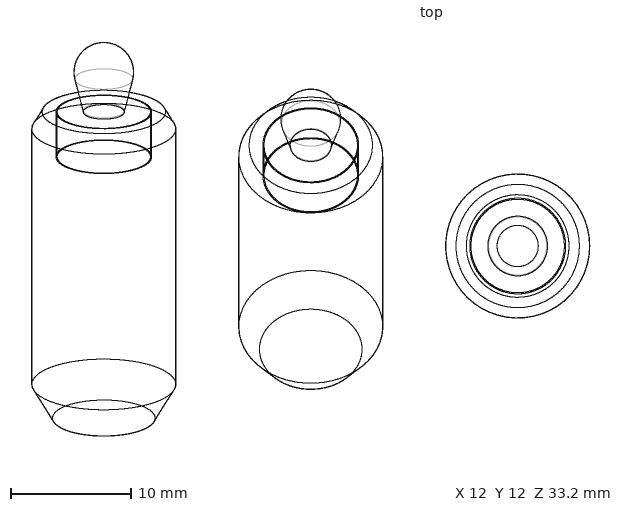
import cadquery as cq
import math

TOTAL_HEIGHT = 33.2
HOUSING_HEIGHT = 27.2
HOUSING_DIAMETER = 12.0
CHAMFER_ANGLE = 60.0
TOP_CHAMFER_HEIGHT = 1.5
BOTTOM_CHAMFER_HEIGHT = 3.0
BORE_RADIUS = 4.0
BORE_DEPTH = 4.0
INSERT_GAP = 0.1
BALL_RADIUS = 2.5
STEM_FOOT_HEIGHT = 0.1
STEM_HALF_ANGLE = 14.0

housing_radius = HOUSING_DIAMETER / 2
bore_floor = HOUSING_HEIGHT - BORE_DEPTH
chamfer_slope = math.tan(math.radians(CHAMFER_ANGLE))
top_radius = housing_radius - TOP_CHAMFER_HEIGHT / chamfer_slope
bottom_radius = housing_radius - BOTTOM_CHAMFER_HEIGHT / chamfer_slope


def revolve_profile(profile):
    """Turn a half profile, drawn as radius and height, about the Z axis."""
    return profile.close().revolve(360, (0, 0, 0), (0, 1, 0))


def make_housing():
    """Cylinder with conical ends and a blind bore in the top."""
    return revolve_profile(
        cq.Workplane("XZ")
        .moveTo(0, 0)
        .lineTo(bottom_radius, 0)
        .lineTo(housing_radius, BOTTOM_CHAMFER_HEIGHT)
        .lineTo(housing_radius, HOUSING_HEIGHT - TOP_CHAMFER_HEIGHT)
        .lineTo(top_radius, HOUSING_HEIGHT)
        .lineTo(BORE_RADIUS, HOUSING_HEIGHT)
        .lineTo(BORE_RADIUS, bore_floor)
        .lineTo(0, bore_floor)
    )


def make_insert():
    """Plug that stands on the bore floor, flush with the housing top."""
    return (
        cq.Workplane("XY", origin=(0, 0, bore_floor))
        .circle(BORE_RADIUS - INSERT_GAP)
        .extrude(BORE_DEPTH)
    )


def make_pin():
    """Ball on a tapered stem that stands on the insert."""
    angle = math.radians(STEM_HALF_ANGLE)
    ball_centre = TOTAL_HEIGHT - BALL_RADIUS
    tangent_radius = BALL_RADIUS * math.cos(angle)
    tangent_height = ball_centre - BALL_RADIUS * math.sin(angle)
    foot_top = HOUSING_HEIGHT + STEM_FOOT_HEIGHT
    foot_radius = tangent_radius - (tangent_height - foot_top) * math.tan(angle)
    return revolve_profile(
        cq.Workplane("XZ")
        .moveTo(0, HOUSING_HEIGHT)
        .lineTo(foot_radius, HOUSING_HEIGHT)
        .lineTo(foot_radius, foot_top)
        .lineTo(tangent_radius, tangent_height)
        .threePointArc((BALL_RADIUS, ball_centre), (0, TOTAL_HEIGHT))
    )


housing = make_housing()
insert = make_insert()
pin = make_pin()

result = cq.Compound.makeCompound([housing.val(), insert.val(), pin.val()])